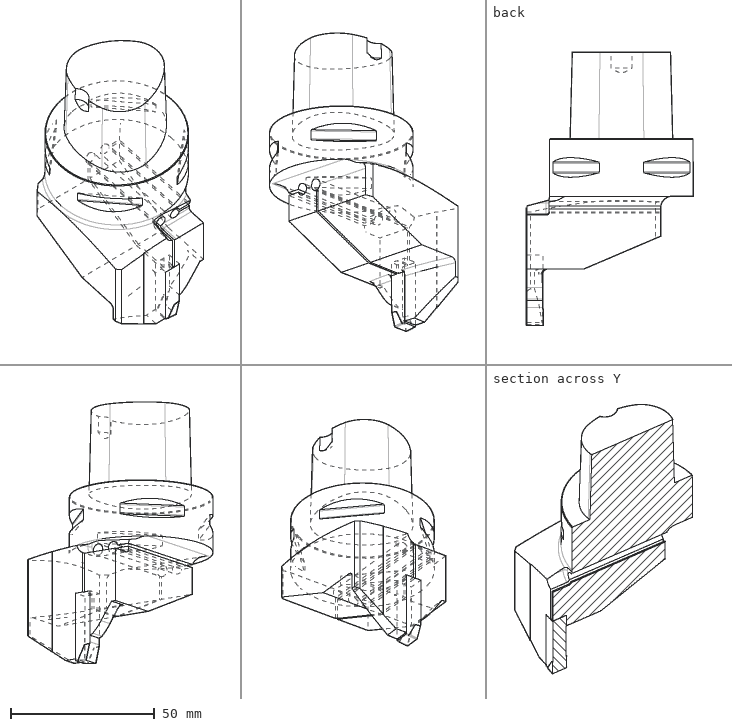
import cadquery as cq
import math


total_height = 95

shank_height = 30.0
shank_taper = 0.8
lobe_radius = 18.7
flat_radius = 16.5
joint_radius = 17.8
joint_angle = 34
lobe_count = 3
lobe_pitch = 360 / lobe_count

notch_radius = 4.4
notch_axis_y = -18.05
notch_depth = 5.5
notch_tip = 3.1

flange_radius = 25.0
flange_height = 20.0
flange_chamfer = 0.3

groove_count = 4
groove_distance = 22.2
groove_middle = -flange_height / 2
groove_floor_height = 2.85
groove_height = 3.8
groove_facet = 0.1
groove_flare = 1.5
groove_overrun = 1.9

head_left = -13.7
head_right = 33.1
head_front = -26.0
head_back = 12.2
head_bottom = -45.3
head_left_bottom = -33.9
slope_end_x = 13.0
left_chamfer = 1.8
right_chamfer = 1.4
root_fillet = 4.0
cone_angle = 15
cone_start = 1.1
rim_fillet = 1.3
side_step = 0.2
side_step_y = -14.6
reach = 57

relief_x = 25.1
relief_front = -4.3
relief_floor = -26.6
relief_left_fillet = 1.0
relief_front_fillet = 4.2

slot_z = -23.8
slot_hole_radius = 2.0
back_hole_y = 5.7
front_hole_y = -0.7
back_slot_width = 1.0
clamp_slot_width = 0.9
clamp_slot_y = -1.3

blade_left = 27.3
blade_front_left = 30.2
blade_fillet = 1.7
blade_bottom = -63.8
blade_heel_y = -9.0
blade_front_bottom = -52.2
finger_start_y = 10.5
finger_bend = (6.1, -51.7)
finger_middle = (4.4, -53.9)
finger_tip = (2.6, -55.7)
finger_end_z = -56.2

insert_top = -40.4
insert_bottom = shank_height - total_height
insert_back = 1.4
insert_front = -4.75
insert_right = head_right - side_step
edge_y = -0.2
edge_front_z = -64.5
relief_start_z = -58.6
tip_overhang = 0.3
tip_outline = [(1.2, -59.1), (-0.95, -59.4), (-3.7, -64.6)]
corner_radius = 0.3


def box(x, y, z):
    """Box from three (low, high) ranges."""
    size = (x[1] - x[0], y[1] - y[0], z[1] - z[0])
    return cq.Workplane("XY").box(*size, centered=False).translate((x[0], y[0], z[0]))


def prism_along_x(outline, x_low, x_high):
    """Prism along X from a closed wire drawn in the YZ plane."""
    return outline.extrude(x_high - x_low).translate((x_low, 0, 0))


def polar(radius, degrees):
    angle = math.radians(degrees)
    return radius * math.cos(angle), radius * math.sin(angle)


def add_shank_outline(plane, inset):
    """Three flat arcs and three tighter lobe arcs, the first flat facing -Y."""
    flat = -90
    outline = plane.moveTo(*polar(joint_radius - inset, flat - joint_angle))
    for _ in range(lobe_count):
        outline = outline.threePointArc(
            polar(flat_radius - inset, flat), polar(joint_radius - inset, flat + joint_angle)
        )
        next_flat = flat + lobe_pitch
        outline = outline.threePointArc(
            polar(lobe_radius - inset, flat + lobe_pitch / 2),
            polar(joint_radius - inset, next_flat - joint_angle),
        )
        flat = next_flat
    return outline.close()


def make_shank():
    base = add_shank_outline(cq.Workplane("XY"), 0)
    both = add_shank_outline(base.workplane(offset=shank_height), shank_taper)
    shank = both.loft(ruled=True)
    notch_floor = shank_height - notch_depth
    notch = (
        cq.Workplane("XZ")
        .polyline([
            (0, shank_height + 0.95),
            (notch_radius, shank_height + 0.95),
            (notch_radius, notch_floor),
            (0, notch_floor - notch_tip),
        ])
        .close()
        .revolve()
        .translate((0, notch_axis_y, 0))
    )
    return shank.cut(notch)


def make_grooves():
    rim = flange_radius + groove_overrun
    facet_end = groove_distance + groove_facet
    flare = groove_flare * (rim - facet_end) / (flange_radius - facet_end)
    half_profile = [
        (groove_distance, groove_floor_height / 2),
        (facet_end, groove_height / 2),
        (rim, groove_height / 2 + flare),
    ]
    mirrored = [(distance, -height) for distance, height in reversed(half_profile)]
    groove = (
        cq.Workplane("XZ")
        .polyline(mirrored + half_profile)
        .close()
        .extrude(flange_radius, both=True)
        .translate((0, 0, groove_middle))
    )
    pitch = 360 / groove_count
    return [groove.rotate((0, 0, 0), (0, 0, 1), (i + 0.5) * pitch) for i in range(groove_count)]


def make_flange():
    flange = cq.Workplane("XY").circle(flange_radius).extrude(-flange_height)
    flange = flange.faces(">Z").edges().chamfer(flange_chamfer)
    for groove in make_grooves():
        flange = flange.cut(groove)
    return flange


def make_envelope():
    """Everything under the flange rim: a small concave fillet that runs out into a cone."""
    slope = math.radians(cone_angle)
    corner_z = -flange_height - cone_start
    tangent = rim_fillet * math.tan(math.radians(90 - cone_angle) / 2)
    start = (flange_radius, corner_z + tangent)
    end = (flange_radius + tangent * math.cos(slope), corner_z - tangent * math.sin(slope))
    outer = (flange_radius + reach, corner_z - reach * math.tan(slope))
    center = (flange_radius + rim_fillet, start[1])
    middle_turn = math.radians(180 + (90 - cone_angle) / 2)
    middle = (
        center[0] + rim_fillet * math.cos(middle_turn),
        center[1] + rim_fillet * math.sin(middle_turn),
    )
    low = insert_bottom - 0.95
    return (
        cq.Workplane("XZ")
        .moveTo(0, -flange_height)
        .lineTo(flange_radius, -flange_height)
        .lineTo(*start)
        .threePointArc(middle, end)
        .lineTo(*outer)
        .lineTo(outer[0], low)
        .lineTo(0, low)
        .close()
        .revolve()
    )


def make_block():
    """Head block flared into the flange on its left and back."""
    plate = box((-reach, reach), (-reach, reach), (-flange_height, 0))
    block = box((head_left, reach), (-reach, head_back), (head_bottom, -flange_height))
    left_edge = cq.selectors.BoxSelector(
        (head_left - 0.95, -reach - 0.95, -flange_height - 0.95), (head_left + 0.95, reach, 0.95 - flange_height)
    )
    back_edge = cq.selectors.BoxSelector(
        (head_left - 0.95, head_back - 0.95, -flange_height - 0.95), (reach + 0.95, head_back + 0.95, 0.95 - flange_height)
    )
    return plate.union(block).edges(left_edge + back_edge).fillet(root_fillet)


def add_blade(block):
    """Blade under the block; its left side is a cylinder that curves away to the right."""
    sag = blade_front_left - blade_left
    radius = (head_front**2 + sag**2) / (2 * sag)
    center_x = blade_left + radius
    ring = cq.Workplane("XY").center(center_x, 0).circle(radius).extrude(-reach - flange_height)
    blade = box((blade_left - 0.95, reach), (-reach, head_back), (insert_bottom, head_bottom)).intersect(ring)
    root = cq.selectors.BoxSelector(
        (blade_left - 0.95, -reach - 0.95, head_bottom - 0.95), (reach - 0.95, head_back + 0.95, head_bottom + 0.95)
    )
    return block.union(blade).edges(root).edges("%CIRCLE").fillet(blade_fillet)


def make_plan_limit():
    """Outline of the head seen along Z, open on the left and back."""
    run_out = reach + head_left
    return (
        cq.Workplane("XY")
        .polyline([
            (-reach, head_front + left_chamfer + run_out),
            (head_left, head_front + left_chamfer),
            (head_left + left_chamfer, head_front),
            (head_right - right_chamfer, head_front),
            (head_right, head_front + right_chamfer),
            (head_right, side_step_y),
            (insert_right, side_step_y),
            (insert_right, reach),
            (-reach, reach),
        ])
        .close()
        .extrude(insert_bottom)
    )


def make_side_limit():
    """Outline of the head and blade seen along X."""
    outline = (
        cq.Workplane("YZ")
        .moveTo(-reach, 0)
        .lineTo(-reach, blade_front_bottom)
        .lineTo(head_front, blade_front_bottom)
        .lineTo(blade_heel_y, blade_bottom)
        .lineTo(insert_front, blade_bottom)
        .lineTo(insert_front, finger_end_z)
        .lineTo(insert_back, finger_end_z)
        .lineTo(*finger_tip)
        .threePointArc(finger_middle, finger_bend)
        .lineTo(finger_start_y, head_bottom)
        .lineTo(reach, head_bottom)
        .lineTo(reach, 0)
        .close()
    )
    return prism_along_x(outline, -reach, reach)


def make_underside_cut():
    return (
        cq.Workplane("XZ")
        .polyline([
            (head_left, head_left_bottom),
            (slope_end_x, head_bottom),
            (head_left, head_bottom),
        ])
        .close()
        .extrude(reach, both=True)
    )


def make_relief():
    relief = box((relief_x, reach), (relief_front, reach), (relief_floor, -flange_height))
    relief = relief.edges("|X and <Y and <Z").fillet(relief_front_fillet)
    left_floor_edge = cq.selectors.BoxSelector(
        (relief_x - 0.95, relief_front - 0.95, relief_floor - 0.95), (relief_x + 0.95, reach + 0.95, relief_floor + 0.95)
    )
    return relief.edges(left_floor_edge).fillet(relief_left_fillet)


def make_clamp_slots():
    holes = (
        cq.Workplane("YZ")
        .pushPoints([(back_hole_y, slot_z), (front_hole_y, slot_z)])
        .circle(slot_hole_radius)
        .extrude(reach, both=True)
    )
    half_back = back_slot_width / 2
    half_clamp = clamp_slot_width / 2
    back_slot = box((-reach, reach), (back_hole_y, reach), (slot_z - half_back, slot_z + half_back))
    clamp_slot = box(
        (-reach, reach), (clamp_slot_y - half_clamp, clamp_slot_y + half_clamp), (head_bottom, slot_z)
    )
    return holes.union(back_slot).union(clamp_slot)


def make_insert_seat():
    """Pocket for the insert, with the blade fillet cleared beside it."""
    y_range = (insert_front, insert_back)
    pocket = box((blade_left, reach), y_range, (insert_bottom, insert_top))
    clearance = box((blade_left - blade_fillet, reach), y_range, (insert_bottom, head_bottom))
    return pocket.union(clearance)


def make_holder():
    head = add_blade(make_block())
    for limit in (make_envelope(), make_plan_limit(), make_side_limit()):
        head = head.intersect(limit)
    for cutter in (make_underside_cut(), make_relief(), make_clamp_slots(), make_insert_seat()):
        head = head.cut(cutter)
    return make_shank().union(make_flange()).union(head)


def round_lower_corners(piece):
    return piece.faces("<Z").edges("not |X").fillet(corner_radius)


def make_insert():
    """Straight bar with a slightly wider cutting tip at its lower end."""
    bar_outline = (
        cq.Workplane("YZ")
        .polyline([
            (insert_back, insert_top),
            (insert_back, relief_start_z),
            (edge_y, insert_bottom),
            (insert_front, edge_front_z),
            (insert_front, insert_top),
        ])
        .close()
    )
    tip_wire = cq.Workplane("YZ").polyline([*tip_outline, (edge_y, insert_bottom)]).close()
    bar = prism_along_x(bar_outline, blade_left, insert_right)
    tip = prism_along_x(tip_wire, blade_left - tip_overhang, head_right)
    return round_lower_corners(bar).union(round_lower_corners(tip))


holder = make_holder()
insert = make_insert()
result = cq.Compound.makeCompound([holder.solids().val(), insert.solids().val()])